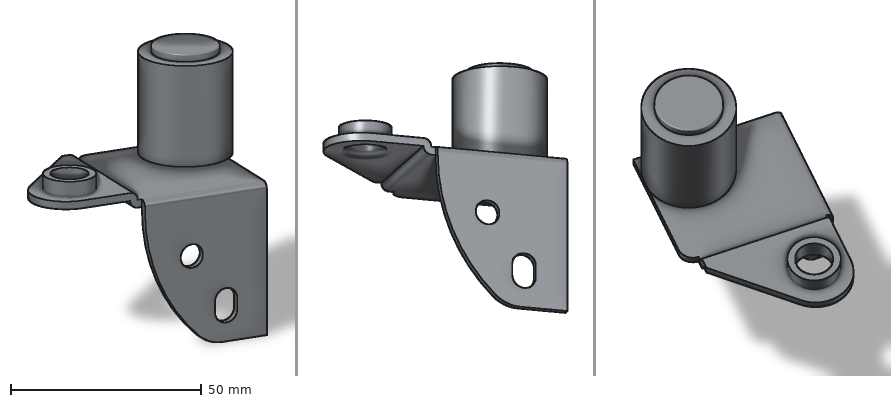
import cadquery as cq
import math


SHEET = 2.2
PLATE_LEFT = -12.05
PLATE_BACK = 9.0
PLATE_FRONT = -26.6
CORNER_RADIUS = 4.0
JOG_START_Y = -27.95
JOG_END_Y = JOG_START_Y - SHEET

EAR_X = 18.0
EAR_Y = -44.0
EAR_RADIUS = 10.0
EAR_SLANT = math.radians(45)
COLLAR_Y = -43.0
COLLAR_DIAMETER = 14.0
COLLAR_BORE = 10.0
COLLAR_HEIGHT = 4.4
COLLAR_ROOT_RADIUS = 0.11
BORE_ROUNDING = SHEET

EAR_RIGHT = EAR_X + EAR_RADIUS
NECK_LEFT = PLATE_LEFT + CORNER_RADIUS

FLANGE_OUTER_X = 30.0
FLANGE_THICKNESS = FLANGE_OUTER_X - EAR_RIGHT
FLANGE_BOTTOM = -42.2
FLANGE_FRONT = -26.8
FLANGE_ARC_TOP = -3.0
FLANGE_ARC_RADIUS = 50.0
FLANGE_CORNER_RADIUS = 10.0
MOUNT_HOLE_DIAMETER = 6.5
HOLE_Y, HOLE_Z = -13.1, -17.15
SLOT_Y, SLOT_Z = -3.0, -32.2
SLOT_LENGTH = 9.5

BEND_RADIUS = 0.99 * FLANGE_THICKNESS

ROLLER_DIAMETER = 25.0
ROLLER_BOTTOM = 0.9
ROLLER_TOP = 28.75
PIN_DIAMETER = 13.8
HEAD_DIAMETER = 18.0
HEAD_TOP = 30.8
HEAD_ROUNDING = 0.45


def arc_point(center, radius, angle):
    """Point on a circle, with the angle in radians."""
    return center[0] + radius * math.cos(angle), center[1] + radius * math.sin(angle)


def make_jogged_plate():
    """Main plate and raised ear: the bent side profile trimmed to the plan outline."""
    lower_bend = (JOG_START_Y, 0)
    upper_bend = (JOG_END_Y, 0)
    ear_tip = EAR_Y - EAR_RADIUS
    sheet = (
        cq.Workplane("YZ", origin=(PLATE_LEFT, 0, 0))
        .moveTo(PLATE_BACK, 0)
        .lineTo(JOG_START_Y, 0)
        .threePointArc(arc_point(upper_bend, SHEET, math.pi / 4), (JOG_END_Y, SHEET))
        .lineTo(ear_tip, SHEET)
        .lineTo(ear_tip, 0)
        .lineTo(JOG_END_Y, 0)
        .threePointArc(arc_point(lower_bend, SHEET, -3 * math.pi / 4), (JOG_START_Y, -SHEET))
        .lineTo(PLATE_BACK, -SHEET)
        .close()
        .extrude(EAR_RIGHT - PLATE_LEFT)
    )

    ear = (EAR_X, EAR_Y)
    slant_end = arc_point(ear, EAR_RADIUS, -math.pi / 2 - EAR_SLANT)
    slant_start_y = slant_end[1] + (slant_end[0] - NECK_LEFT) * math.tan(EAR_SLANT)
    corner = (NECK_LEFT, PLATE_FRONT + CORNER_RADIUS)
    outline = (
        cq.Workplane("XY", origin=(0, 0, -SHEET))
        .moveTo(PLATE_LEFT, PLATE_BACK)
        .lineTo(PLATE_LEFT, corner[1])
        .threePointArc(arc_point(corner, CORNER_RADIUS, -3 * math.pi / 4), (NECK_LEFT, PLATE_FRONT))
        .lineTo(NECK_LEFT, slant_start_y)
        .lineTo(*slant_end)
        .threePointArc(arc_point(ear, EAR_RADIUS, -math.pi / 4), (EAR_RIGHT, EAR_Y))
        .lineTo(EAR_RIGHT, PLATE_BACK)
        .close()
        .extrude(2 * SHEET)
    )
    return sheet.intersect(outline)


def make_flange():
    """Downward flange with an arched front edge, rounded bend, hole and slot."""
    arc_center = (FLANGE_FRONT + FLANGE_ARC_RADIUS, FLANGE_ARC_TOP)
    corner_z = FLANGE_BOTTOM + FLANGE_CORNER_RADIUS
    center_distance = FLANGE_ARC_RADIUS - FLANGE_CORNER_RADIUS
    corner_y = arc_center[0] - math.sqrt(center_distance**2 - (corner_z - FLANGE_ARC_TOP) ** 2)
    corner = (corner_y, corner_z)
    touch_angle = math.atan2(corner_z - arc_center[1], corner_y - arc_center[0]) + 2 * math.pi
    arc_mid = arc_point(arc_center, FLANGE_ARC_RADIUS, (math.pi + touch_angle) / 2)
    arc_end = arc_point(arc_center, FLANGE_ARC_RADIUS, touch_angle)
    corner_mid = arc_point(corner, FLANGE_CORNER_RADIUS, (touch_angle + 3 * math.pi / 2) / 2)

    flange = (
        cq.Workplane("YZ", origin=(EAR_RIGHT, 0, 0))
        .moveTo(PLATE_BACK, 0)
        .lineTo(FLANGE_FRONT, 0)
        .lineTo(FLANGE_FRONT, FLANGE_ARC_TOP)
        .threePointArc(arc_mid, arc_end)
        .threePointArc(corner_mid, (corner_y, FLANGE_BOTTOM))
        .lineTo(PLATE_BACK, FLANGE_BOTTOM)
        .close()
        .extrude(FLANGE_THICKNESS)
    )
    flange = flange.edges("|Y and >X and >Z").fillet(BEND_RADIUS)
    openings = (
        cq.Workplane("YZ", origin=(EAR_RIGHT, 0, 0))
        .moveTo(HOLE_Y, HOLE_Z)
        .circle(MOUNT_HOLE_DIAMETER / 2)
        .extrude(FLANGE_THICKNESS)
        .moveTo(SLOT_Y, SLOT_Z)
        .slot2D(SLOT_LENGTH, MOUNT_HOLE_DIAMETER, 90)
        .extrude(FLANGE_THICKNESS)
    )
    return flange.cut(openings)


def make_collar():
    """Solid of revolution for the collar, with the fillet at its root."""
    radius = COLLAR_DIAMETER / 2
    root = (radius + COLLAR_ROOT_RADIUS, SHEET + COLLAR_ROOT_RADIUS)
    return (
        cq.Workplane("XZ", origin=(EAR_X, COLLAR_Y, 0))
        .moveTo(0, SHEET)
        .lineTo(root[0], SHEET)
        .threePointArc(arc_point(root, COLLAR_ROOT_RADIUS, -3 * math.pi / 4), (radius, root[1]))
        .lineTo(radius, SHEET + COLLAR_HEIGHT)
        .lineTo(0, SHEET + COLLAR_HEIGHT)
        .close()
        .revolve(360, (0, 0), (0, 1))
    )


def make_collar_bore():
    """Cutter for the collar bore, flaring out in an arc to the underside of the ear."""
    radius = COLLAR_BORE / 2
    flare = (radius + BORE_ROUNDING, BORE_ROUNDING)
    return (
        cq.Workplane("XZ", origin=(EAR_X, COLLAR_Y, 0))
        .lineTo(flare[0], 0)
        .threePointArc(arc_point(flare, BORE_ROUNDING, -3 * math.pi / 4), (radius, flare[1]))
        .lineTo(radius, SHEET + COLLAR_HEIGHT)
        .lineTo(0, SHEET + COLLAR_HEIGHT)
        .close()
        .revolve(360, (0, 0), (0, 1))
    )


def make_bracket():
    """One-piece bracket: jogged plate, flange and bored collar."""
    return make_jogged_plate().union(make_flange()).union(make_collar()).cut(make_collar_bore())


def make_roller():
    """Plain cylindrical roller bored to fit the pin."""
    return (
        cq.Workplane("XY", origin=(0, 0, ROLLER_BOTTOM))
        .circle(ROLLER_DIAMETER / 2)
        .circle(PIN_DIAMETER / 2)
        .extrude(ROLLER_TOP - ROLLER_BOTTOM)
    )


def make_pin():
    """Headed pin standing on the plate; its head rests on the roller."""
    shank = cq.Workplane("XY").circle(PIN_DIAMETER / 2).extrude(ROLLER_TOP)
    head = (
        cq.Workplane("XY", origin=(0, 0, ROLLER_TOP))
        .circle(HEAD_DIAMETER / 2)
        .extrude(HEAD_TOP - ROLLER_TOP)
        .faces(">Z")
        .edges()
        .fillet(HEAD_ROUNDING)
    )
    return shank.union(head)


bracket = make_bracket()
roller = make_roller()
pin = make_pin()

result = cq.Compound.makeCompound([bracket.val(), roller.val(), pin.val()])